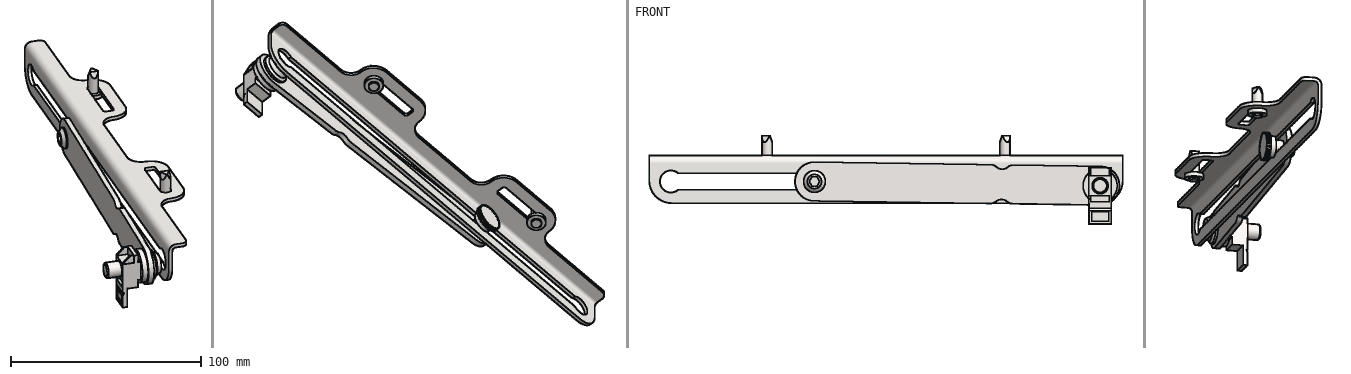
import cadquery as cq
import math


rail_length = 249.0
rail_thickness = 2.0
rail_drop = 25.1
rail_depth = 10.5
rail_bend_radius = 4.0
rail_back_corner = 3.0
rail_bottom_corner = 12.0
tab_spacing = 100.0
tab_width = 45.0
tab_reach = 27.6
tab_outer_radius = 9.5
tab_root_radius = 7.5
tab_slot_length = 31.0
tab_slot_width = 6.0
tab_slot_y = 18.0
tab_slot_corner = 1.5
keyhole_x = 113.0
keyhole_radius = 5.7
track_width = 8.5
pivot_z = -13.7

stud_radius = 2.7
stud_top = 10.5
stud_head_radius = 5.0
stud_head_height = 2.2
stud_nub_height = 1.0
stud_x = tab_spacing / 2 + tab_slot_length / 2 - tab_slot_width / 2
facet_count = 3
facet_depth = 3.5
facet_inset = 1.2

arm_radius = 10.2
arm_thickness = 3.0
pivot_span = 150.1
arm_dip = 2.2
arm_splay = 4.7
near_pivot = (-37.5, -2.5, pivot_z)
far_pivot = (near_pivot[0] + pivot_span, near_pivot[1] - arm_splay, pivot_z - arm_dip)
arm_length = math.hypot(pivot_span, arm_splay, arm_dip)
arm_pitch = math.degrees(math.atan2(arm_dip, pivot_span))
arm_yaw = -math.degrees(math.atan2(arm_splay, pivot_span))
notch_along = 98.5
notch_half = 6.0
notch_depth = 2.2
lean_gap = 0.32
front_seat = -arm_thickness - lean_gap

pivot_shank_radius = 3.7
pivot_head_radius = 5.7
pivot_head_top_radius = 3.7
pivot_head_rim = 0.7
pivot_head_height = 2.7
socket_size = 5.5
socket_depth = 1.5
shoulder_radius = 5.7
shoulder_start = 4.7
shoulder_length = 3.2
knurl_radius = 7.5
knurl_length = 2.5
knurl_count = 24
knurl_groove = 0.7

bolt_radius = 4.2
bolt_reach = 24.2
bolt_chamfer = 0.7
bolt_head_radius = 8.0
bolt_head_top_radius = 5.2
bolt_head_height = 5.2
bolt_head_rim = 1.5
bolt_head_break_radius = 6.5
bolt_head_break_height = 2.7
washer_radius = 9.0
washer_thickness = 3.0
clip_width = 11.7
clip_wall = 1.0
clip_wall_inset = 0.2
clip_gap = 1.5
clip_plate = 2.2
clip_depth = 8.5
clip_top = 9.5
clip_base = -9.5
clip_floor = -8.5
clip_foot = -20.2
clip_slope_height = 4.0
clip_slope_depth = 4.2
leg_thickness = 2.5
groove_top = -11.7
groove_height = 1.5
groove_depth = 0.7
block_height = 10.5
pad_width = 9.0
pad_height = 5.0
pad_depth = 0.5
pad_bottom = -18.7


def disc(radius, y_from, y_to):
    """Cylinder along Y between two Y positions."""
    return cq.Workplane("XZ", origin=(0, y_from, 0)).circle(radius).extrude(y_from - y_to)


def box(x_from, x_to, y_from, y_to, z_from, z_to):
    """Axis-aligned box between the given positions."""
    size = (x_to - x_from, y_to - y_from, z_to - z_from)
    return cq.Workplane("XY", origin=(x_from, y_from, z_from)).box(*size, centered=False)


def turned(points):
    """Solid of revolution about Y from (radius, y) points."""
    return cq.Workplane("XY").polyline(points).close().revolve(360, (0, 0, 0), (0, 1, 0))


def point_on_circle(center, radius, angle):
    """Point on a circle at an angle in degrees."""
    turn = math.radians(angle)
    return (center[0] + radius * math.cos(turn), center[1] + radius * math.sin(turn))


def make_tab_plate(center_x):
    """One tab: rounded outer corners and concave roots where it meets the strip."""
    half = tab_width / 2
    root = half + tab_root_radius
    root_y = rail_depth + tab_root_radius
    corner_y = tab_reach - tab_outer_radius
    flat = half - tab_outer_radius
    right_root = point_on_circle((root, root_y), tab_root_radius, 225)
    right_corner = point_on_circle((flat, corner_y), tab_outer_radius, 45)
    left_corner = (-right_corner[0], right_corner[1])
    left_root = (-right_root[0], right_root[1])
    return (
        cq.Workplane("XY", origin=(center_x, 0, -rail_thickness))
        .moveTo(-root, rail_bend_radius)
        .lineTo(root, rail_bend_radius)
        .lineTo(root, rail_depth)
        .threePointArc(right_root, (half, root_y))
        .lineTo(half, corner_y)
        .threePointArc(right_corner, (flat, tab_reach))
        .lineTo(-flat, tab_reach)
        .threePointArc(left_corner, (-half, corner_y))
        .lineTo(-half, root_y)
        .threePointArc(left_root, (-root, rail_depth))
        .close()
        .extrude(rail_thickness)
    )


def make_tab_slot(side):
    """Slot cutter of one tab: full round at the outer end, small corners at the inner end."""
    outer_x = side * stud_x
    inner_x = outer_x - side * (tab_slot_length - tab_slot_width / 2)
    middle_x = (outer_x + inner_x) / 2
    bar = (
        cq.Workplane("XY", origin=(middle_x, tab_slot_y, -rail_thickness))
        .rect(abs(outer_x - inner_x), tab_slot_width)
        .extrude(rail_thickness)
        .edges("|Z and " + ("<X" if side > 0 else ">X"))
        .fillet(tab_slot_corner)
    )
    end = (
        cq.Workplane("XY", origin=(outer_x, tab_slot_y, -rail_thickness))
        .circle(tab_slot_width / 2)
        .extrude(rail_thickness)
    )
    return bar.union(end)


def make_rail():
    half = rail_length / 2
    angle = (
        cq.Workplane("YZ", origin=(-half, 0, 0))
        .polyline([
            (0, 0),
            (rail_depth, 0),
            (rail_depth, -rail_thickness),
            (rail_thickness, -rail_thickness),
            (rail_thickness, -rail_drop),
            (0, -rail_drop),
        ])
        .close()
        .extrude(rail_length)
    )
    angle = angle.edges("|X and <Y and >Z").fillet(rail_bend_radius)
    inner_bend = cq.selectors.NearestToPointSelector((0, rail_thickness, -rail_thickness))
    angle = angle.edges(inner_bend).fillet(rail_bend_radius - rail_thickness)
    angle = angle.edges("|Z and >Y").fillet(rail_back_corner)
    angle = angle.edges("|Y and <Z").fillet(rail_bottom_corner)
    for side in (-1, 1):
        angle = angle.union(make_tab_plate(side * tab_spacing / 2))
        angle = angle.cut(make_tab_slot(side))
        keyhole = disc(keyhole_radius, rail_thickness, 0)
        angle = angle.cut(keyhole.translate((side * keyhole_x, 0, pivot_z)))
    track_half = track_width / 2
    track = box(-keyhole_x, keyhole_x, 0, rail_thickness, pivot_z - track_half, pivot_z + track_half)
    return angle.cut(track)


def make_stud(side):
    """Stud with its head under the tab and three facets at the tip, one facing the rail middle."""
    head_top = -rail_thickness
    head_bottom = head_top - stud_head_height
    nub_bottom = head_bottom - stud_nub_height
    stud = cq.Workplane("XY", origin=(0, 0, nub_bottom)).circle(stud_radius).extrude(stud_top - nub_bottom)
    head = cq.Workplane("XY", origin=(0, 0, head_bottom)).circle(stud_head_radius)
    stud = stud.union(head.extrude(stud_head_height))
    wedge = (
        cq.Workplane("XZ")
        .polyline([
            (stud_radius, stud_top - facet_depth),
            (stud_radius, stud_top),
            (stud_radius - facet_inset, stud_top),
        ])
        .close()
        .extrude(stud_radius, both=True)
    )
    first_turn = 0 if side < 0 else 180
    for index in range(facet_count):
        turn = first_turn + index * 360 / facet_count
        stud = stud.cut(wedge.rotate((0, 0, 0), (0, 0, 1), turn))
    return stud.translate((side * stud_x, tab_slot_y, 0))


def make_arm():
    """Round-ended bar with a smooth notch in each long edge, leaning away from the rail."""
    quarter = notch_half / 2
    step = notch_depth / 2
    notch_start = notch_along - notch_half
    notch_end = notch_along + notch_half
    bar = (
        cq.Workplane("XZ")
        .moveTo(0, arm_radius)
        .lineTo(notch_start, arm_radius)
        .tangentArcPoint((notch_along - quarter, arm_radius - step), relative=False)
        .tangentArcPoint((notch_along + quarter, arm_radius - step), relative=False)
        .tangentArcPoint((notch_end, arm_radius), relative=False)
        .lineTo(arm_length, arm_radius)
        .threePointArc((arm_length + arm_radius, 0), (arm_length, -arm_radius))
        .lineTo(notch_end, -arm_radius)
        .tangentArcPoint((notch_along + quarter, step - arm_radius), relative=False)
        .tangentArcPoint((notch_along - quarter, step - arm_radius), relative=False)
        .tangentArcPoint((notch_start, -arm_radius), relative=False)
        .lineTo(0, -arm_radius)
        .threePointArc((-arm_radius, 0), (0, arm_radius))
        .close()
        .extrude(arm_thickness)
    )
    bar = bar.rotate((0, 0, 0), (0, 1, 0), arm_pitch)
    bar = bar.rotate((0, 0, 0), (0, 0, 1), arm_yaw)
    bar = bar.translate(near_pivot)
    drill_start = 2 * arm_thickness
    bar = bar.cut(disc(pivot_shank_radius, drill_start, -drill_start).translate(near_pivot))
    return bar.cut(disc(bolt_radius, drill_start, -drill_start).translate(far_pivot))


def make_pivot_screw():
    """Screw with a tapered socket head in front of the arm and a shank ending inside the nut."""
    shank_end = shoulder_start + shoulder_length
    top = front_seat - pivot_head_height
    screw = turned([
        (0, shank_end),
        (pivot_shank_radius, shank_end),
        (pivot_shank_radius, front_seat),
        (pivot_head_radius, front_seat),
        (pivot_head_radius, front_seat - pivot_head_rim),
        (pivot_head_top_radius, top),
        (0, top),
    ])
    socket = cq.Workplane("XZ", origin=(0, top, 0)).polygon(6, socket_size).extrude(-socket_depth)
    return screw.cut(socket)


def make_knurled_nut():
    """Shouldered nut behind the rail with a grooved rim."""
    shoulder_end = shoulder_start + shoulder_length
    nut_end = shoulder_end + knurl_length
    nut = disc(shoulder_radius, shoulder_end, shoulder_start)
    nut = nut.union(disc(knurl_radius, nut_end, shoulder_end))
    grooves = (
        cq.Workplane("XZ", origin=(0, nut_end, 0))
        .polarArray(knurl_radius, 0, 360, knurl_count)
        .rect(knurl_groove, knurl_groove)
        .extrude(knurl_length)
    )
    nut = nut.cut(grooves)
    return nut.cut(disc(pivot_shank_radius, shoulder_end, shoulder_start))


def make_bolt():
    """Bolt with a tapered head behind the arm and a chamfered tip in front of the clip."""
    return turned([
        (0, bolt_head_height),
        (bolt_head_top_radius, bolt_head_height),
        (bolt_head_break_radius, bolt_head_break_height),
        (bolt_head_radius, bolt_head_rim),
        (bolt_head_radius, lean_gap),
        (bolt_radius, lean_gap),
        (bolt_radius, bolt_chamfer - bolt_reach),
        (bolt_radius - bolt_chamfer, -bolt_reach),
        (0, -bolt_reach),
    ])


def make_washer():
    front = front_seat - washer_thickness
    return disc(washer_radius, front_seat, front).cut(disc(bolt_radius, front_seat, front))


def make_clip():
    """Open channel with a square block around the bolt and a finger leg below."""
    washer_front = front_seat - washer_thickness
    back = washer_front - clip_gap
    front = back - clip_depth
    half = clip_width / 2
    inner = half - clip_wall
    clip = (
        cq.Workplane("YZ", origin=(-half, 0, 0))
        .polyline([
            (back, clip_top),
            (front + clip_slope_depth, clip_top),
            (front, clip_top - clip_slope_height),
            (front, groove_top),
            (front + groove_depth, groove_top),
            (front, groove_top - groove_height),
            (front, clip_foot),
            (front + leg_thickness, clip_foot),
            (front + leg_thickness, clip_base),
            (back, clip_base),
        ])
        .close()
        .extrude(clip_width)
    )
    clip = clip.cut(box(-inner, inner, front, back - clip_plate, clip_floor, clip_top))
    clip = clip.union(box(-half, half, front, washer_front, -block_height / 2, block_height / 2))
    for side in (-1, 1):
        inset_x = sorted((side * half, side * (half - clip_wall_inset)))
        clip = clip.cut(box(*inset_x, front, back - clip_plate, block_height / 2, clip_top))
    pad_half = pad_width / 2
    pad_top = pad_bottom + pad_height
    clip = clip.cut(box(-pad_half, pad_half, front, front + pad_depth, pad_bottom, pad_top))
    return clip.cut(disc(bolt_radius, washer_front, front))


rail = make_rail()
studs = [make_stud(side) for side in (-1, 1)]
arm = make_arm()
pivot_screw = make_pivot_screw().translate(near_pivot)
knurled_nut = make_knurled_nut().translate(near_pivot)
bolt = make_bolt().translate(far_pivot)
washer = make_washer().translate(far_pivot)
clip = make_clip().translate(far_pivot)

result = cq.Compound.makeCompound([
    rail.solids().val(),
    *[stud.solids().val() for stud in studs],
    arm.solids().val(),
    pivot_screw.solids().val(),
    knurled_nut.solids().val(),
    bolt.solids().val(),
    washer.solids().val(),
    clip.solids().val(),
])